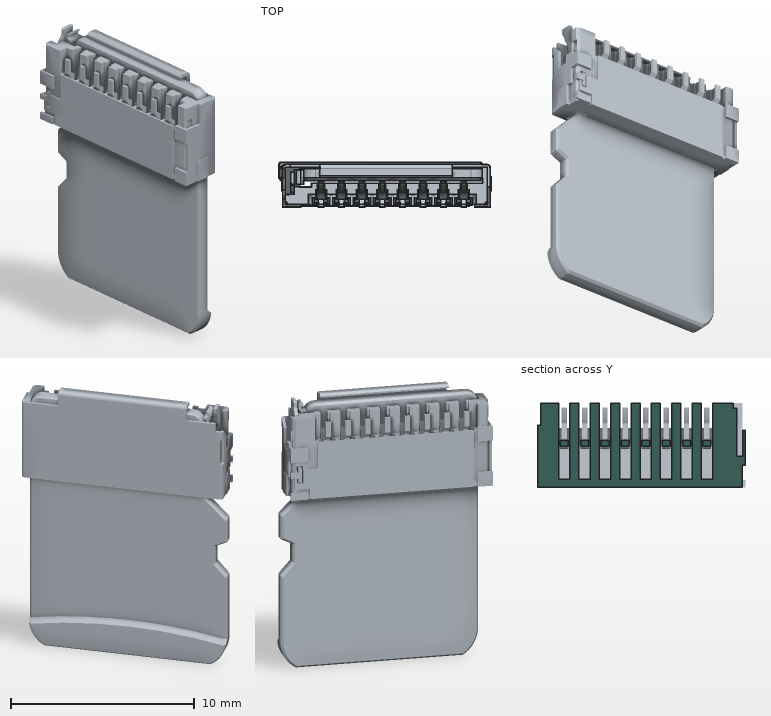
import cadquery as cq
import math

CARD_WIDTH = 11.06
CARD_HEIGHT = 15.05
CARD_FRONT_Y = 1.45
CARD_BACK_Y = 2.17
CARD_NECK_X = 1.35
CARD_SHOULDER_Z = 8.78
CARD_TOP_RADIUS = 0.64
FRONT_BEVEL_DEPTH = 0.15
FRONT_BEVEL_WIDTH = 0.12
BACK_BEVEL = 0.1
CORNER_DX = 0.85
CORNER_DZ = 1.5
NOTCH_DEPTH = 0.67
NOTCH_ZS = (5.3, 6.05, 7.09, 7.41)
LIP_BACK_Y = 2.45
LIP_ROOT_Y = 2.02
LIP_CROWN_Z = 2.03
LIP_BEVEL = 0.26
LIP_EDGE_BEVEL = 0.08

BASE_Z = 10.08
TOP_Z = 14.67
SHELL_TOP_Z = 14.65
SHEET = 0.15
SHELL_LEFT_X = 0.2
SHELL_RIGHT_X = 11.5
SHELL_BACK_Y = 2.33
INNER_BACK_Y = SHELL_BACK_Y - SHEET
INNER_LEFT_X = SHELL_LEFT_X + SHEET
INNER_RIGHT_X = SHELL_RIGHT_X - SHEET
BODY_FRONT_Y = 0.15
PLATE_FRONT_Y = 0.06
SHELL_BEND_RADIUS = 0.19
SIDE_PAD = 0.05
PAD_FRONT_Y = 0.88
PAD_BACK_Y = 1.66
PAD_TOP_Z = 11.28
RIGHT_TAB_TOP_Z = 13.48
SLOT_BOTTOM_Z = 12.69

BODY_EDGE_CHAMFER = 0.15
PLATE_LEFT_X = 1.7
PLATE_RIGHT_X = 10.36
PLATE_STEP_WIDTH = 0.14
PLATE_STEP_Z = 11.77
SHELF_Z = 13.3
SHELF_LEFT_X = 1.6
SHELF_RIGHT_X = 10.73
RIB_FRONT_Y = 0.7
CAVITY_LEFT_X = 0.84
CAVITY_RIGHT_X = 11.06
CAVITY_FRONT_Y = 1.3
CORNER_FRONT_Y = 1.1
CORNER_RIGHT_X = 1.77
MOUTH_LEFT_X = 1.15
POCKET_FLOOR_Z = 11.79
POCKET_FRONT_Y = 0.7
LATCH_DEPTH_Y = 0.56

CONTACT_COUNT = 8
FIRST_CONTACT_X = 2.3
LAST_CONTACT_X = 10.05
CONTACT_PITCH = (LAST_CONTACT_X - FIRST_CONTACT_X) / (CONTACT_COUNT - 1)
CONTACT_WIDTH = 0.3
CONTACT_BEND_WIDTH = 0.47
CONTACT_BARB_WIDTH = 0.75
SLOT_WIDTH = 0.4
SLOT_FRONT_WIDTH = 0.59
SLOT_STEP_Y = 0.96
SLOT_FLOOR_Z = 10.55
SOCKET_WIDTH = 0.96
SOCKET_BACK_Y = 0.51
SOCKET_FLOOR_Z = 12.25

contact_xs = [FIRST_CONTACT_X + i * CONTACT_PITCH for i in range(CONTACT_COUNT)]


def block(x0, x1, y0, y1, z0, z1):
    return cq.Workplane("XY").box(x1 - x0, y1 - y0, z1 - z0, centered=False).translate((x0, y0, z0))


def side_profile(points, x0, x1):
    """Extrude a (y, z) outline from x0 to x1."""
    return cq.Workplane("YZ", origin=(x0, 0, 0)).polyline(points).close().extrude(x1 - x0)


def front_profile(points, y0, y1):
    """Extrude an (x, z) outline from y0 to y1."""
    return cq.Workplane("XZ", origin=(0, y0, 0)).polyline(points).close().extrude(y0 - y1)


def corner_mid(side):
    """Middle point of a bottom corner arc that is tangent to the side edge; side is -1 or +1."""
    radius = (CORNER_DX ** 2 + CORNER_DZ ** 2) / (2 * CORNER_DX)
    half = math.asin(CORNER_DZ / radius) / 2
    inset = radius * (1 - math.cos(half))
    x = inset if side < 0 else CARD_WIDTH - inset
    return (x, CORNER_DZ - radius * math.sin(half))


def card_outline(plane):
    r = CARD_TOP_RADIUS
    bend = r * (1 - math.sqrt(0.5))
    z0, z1, z2, z3 = NOTCH_ZS
    return (
        plane.moveTo(CORNER_DX, 0)
        .lineTo(CARD_WIDTH - CORNER_DX, 0)
        .threePointArc(corner_mid(1), (CARD_WIDTH, CORNER_DZ))
        .lineTo(CARD_WIDTH, CARD_HEIGHT - r)
        .threePointArc((CARD_WIDTH - bend, CARD_HEIGHT - bend), (CARD_WIDTH - r, CARD_HEIGHT))
        .lineTo(CARD_NECK_X + r, CARD_HEIGHT)
        .threePointArc((CARD_NECK_X + bend, CARD_HEIGHT - bend), (CARD_NECK_X, CARD_HEIGHT - r))
        .lineTo(CARD_NECK_X, CARD_SHOULDER_Z + CARD_NECK_X)
        .lineTo(0, CARD_SHOULDER_Z)
        .lineTo(0, z3)
        .lineTo(NOTCH_DEPTH, z2)
        .lineTo(NOTCH_DEPTH, z1)
        .lineTo(0, z0)
        .lineTo(0, CORNER_DZ)
        .threePointArc(corner_mid(-1), (CORNER_DX, 0))
        .close()
    )


def make_card():
    bevel_y = CARD_FRONT_Y + FRONT_BEVEL_DEPTH
    slab = card_outline(cq.Workplane("XZ", origin=(0, bevel_y, 0))).extrude(bevel_y - CARD_BACK_Y)
    slab = slab.faces(">Y").edges().chamfer(BACK_BEVEL)
    taper = math.degrees(math.atan(FRONT_BEVEL_WIDTH / FRONT_BEVEL_DEPTH))
    front = card_outline(cq.Workplane("XZ", origin=(0, bevel_y, 0))).extrude(FRONT_BEVEL_DEPTH, taper=taper)
    return slab.union(front).union(make_lip())


def make_lip():
    """Thumb grip across the bottom of the card's back, with an arched and bevelled top."""
    lip = (
        cq.Workplane("XZ", origin=(0, LIP_ROOT_Y, 0))
        .moveTo(CORNER_DX, 0)
        .lineTo(CARD_WIDTH - CORNER_DX, 0)
        .threePointArc(corner_mid(1), (CARD_WIDTH, CORNER_DZ))
        .threePointArc((CARD_WIDTH / 2, LIP_CROWN_Z), (0, CORNER_DZ))
        .threePointArc(corner_mid(-1), (CORNER_DX, 0))
        .close()
        .extrude(LIP_ROOT_Y - LIP_BACK_Y)
    )
    lip = lip.faces(">Y").edges(">Z").chamfer(LIP_BEVEL)
    return lip.faces(">Y").edges("not >Z").chamfer(LIP_EDGE_BEVEL)


def make_shell():
    shell = block(SHELL_LEFT_X, SHELL_RIGHT_X, BODY_FRONT_Y, SHELL_BACK_Y, BASE_Z, SHELL_TOP_Z)
    shell = shell.edges("|Z and >Y").fillet(SHELL_BEND_RADIUS)
    shell = shell.cut(block(INNER_LEFT_X, INNER_RIGHT_X, 0, INNER_BACK_Y, BASE_Z, SHELL_TOP_Z))
    shell = shell.cut(left_wall_cutouts()).cut(right_wall_cutouts())
    for tab in front_tabs():
        shell = shell.union(tab)
    for pad in side_pads():
        shell = shell.union(pad)
    return shell.union(make_tongue())


def left_wall_cutouts():
    """Space above the stepped upper edge of the left wall, its front reliefs and its back corner openings."""
    corner_front_y, wall_top_z, notch_right_x = 2.02, 14.18, 0.62
    relief_top_z = 12.22
    window_z0, window_z1 = 12.2, 13.68
    outline = [
        (SHELL_BACK_Y, wall_top_z), (2.06, wall_top_z), (1.61, 13.73), (1.61, SLOT_BOTTOM_Z),
        (0.96, SLOT_BOTTOM_Z), (0.96, 13.2), (0.47, 13.2), (0.47, 13.03), (0, 13.03),
        (0, SHELL_TOP_Z), (SHELL_BACK_Y, SHELL_TOP_Z),
    ]
    upper = side_profile(outline, SHELL_LEFT_X, INNER_LEFT_X)
    relief = block(SHELL_LEFT_X, INNER_LEFT_X, 0, LATCH_DEPTH_Y, PAD_TOP_Z, relief_top_z)
    window = block(SHELL_LEFT_X, INNER_LEFT_X, corner_front_y, SHELL_BACK_Y, window_z0, window_z1)
    latch_relief = block(SHELL_LEFT_X, INNER_LEFT_X, 0, PAD_FRONT_Y, BASE_Z, PAD_TOP_Z)
    back_corner = block(SHELL_LEFT_X, notch_right_x, corner_front_y, SHELL_BACK_Y, wall_top_z, SHELL_TOP_Z)
    return upper.union(relief).union(window).union(latch_relief).union(back_corner)


def right_wall_cutouts():
    """The right wall is low in front, level with its upper tab."""
    low_part_back_y = 1.1
    return block(INNER_RIGHT_X, SHELL_RIGHT_X, 0, low_part_back_y, RIGHT_TAB_TOP_Z, SHELL_TOP_Z)


def front_tabs():
    """Tabs bent over the front, each given by its x range and z range."""
    spans = [
        (SHELL_LEFT_X, 1.2, 12.24, 13.03),
        (SHELL_LEFT_X, 1.16, BASE_Z, 10.48),
        (10.64, SHELL_RIGHT_X, 12.67, RIGHT_TAB_TOP_Z),
        (10.64, SHELL_RIGHT_X, BASE_Z, 10.89),
    ]
    return [block(x0, x1, 0, SHEET, z0, z1) for x0, x1, z0, z1 in spans]


def side_pads():
    pad_x = [(SHELL_LEFT_X - SIDE_PAD, INNER_LEFT_X), (INNER_RIGHT_X, SHELL_RIGHT_X + SIDE_PAD)]
    return [block(x0, x1, PAD_FRONT_Y, PAD_BACK_Y, BASE_Z, PAD_TOP_Z) for x0, x1 in pad_x]


def make_tongue():
    """Strip rising from the back wall and folded forward over the card."""
    x0, x1, fold_front_y, fold_z, top_z = 2.23, 9.43, 1.61, 15.31, 15.51
    bend_radius, lip_chamfer = 0.2, 0.11
    strip = block(x0, x1, INNER_BACK_Y, SHELL_BACK_Y, SHELL_TOP_Z, top_z)
    fold = block(x0, x1, fold_front_y, SHELL_BACK_Y, fold_z, top_z)
    tongue = strip.union(fold).edges("|X and >Z and >Y").fillet(bend_radius)
    return tongue.faces("<Y").edges(">Z").chamfer(lip_chamfer)


def make_insulator():
    body = block(INNER_LEFT_X, INNER_RIGHT_X, BODY_FRONT_Y, INNER_BACK_Y, BASE_Z, TOP_Z)
    body = body.edges("|Z and <Y").chamfer(BODY_EDGE_CHAMFER)
    body = body.union(front_plate())
    body = body.cut(card_cavity())
    body = body.cut(block(SHELF_LEFT_X, SHELF_RIGHT_X, 0, RIB_FRONT_Y, SHELF_Z, TOP_Z))
    body = body.cut(block(INNER_LEFT_X, CAVITY_LEFT_X, POCKET_FRONT_Y, INNER_BACK_Y, POCKET_FLOOR_Z, TOP_Z))
    for x in contact_xs:
        body = body.cut(contact_slot(x))
    latch_window = block(0.56, 0.92, 0, LATCH_DEPTH_Y, 10.98, 11.97)
    tab_recess = block(INNER_LEFT_X, 1.27, 0, BODY_FRONT_Y, BASE_Z, 10.69)
    return body.cut(latch_window).cut(tab_recess).cut(ramp_recesses())


def front_plate():
    left_x = 0.45
    outline = [
        (left_x, BASE_Z), (PLATE_RIGHT_X, BASE_Z), (PLATE_RIGHT_X, SHELF_Z),
        (PLATE_LEFT_X, SHELF_Z), (PLATE_LEFT_X, PLATE_STEP_Z), (left_x, PLATE_STEP_Z),
    ]
    plate = front_profile(outline, PLATE_FRONT_Y, BODY_FRONT_Y + BODY_EDGE_CHAMFER)
    step_y = (PLATE_FRONT_Y + BODY_FRONT_Y) / 2
    step = block(PLATE_RIGHT_X, PLATE_RIGHT_X + PLATE_STEP_WIDTH, step_y, RIB_FRONT_Y, BASE_Z, SHELF_Z)
    return plate.union(step)


def ramp_recesses():
    """Shallow recesses with ramped floors in the two outer side faces."""
    y0, y1, foot_z, roof_z, depth = 0.28, 0.68, 13.03, 13.93, 0.2
    left = [(INNER_LEFT_X, foot_z), (INNER_LEFT_X, roof_z), (INNER_LEFT_X + depth, roof_z)]
    right = [(INNER_RIGHT_X, foot_z), (INNER_RIGHT_X, roof_z), (INNER_RIGHT_X - depth, roof_z)]
    return front_profile(left, y0, y1).union(front_profile(right, y0, y1))


def card_cavity():
    """Space for the card, open at both ends, with room at the upper left for the lever and spring."""
    main = block(MOUTH_LEFT_X, CAVITY_RIGHT_X, CAVITY_FRONT_Y, INNER_BACK_Y, BASE_Z, TOP_Z)
    corner = block(MOUTH_LEFT_X, CORNER_RIGHT_X, CORNER_FRONT_Y, INNER_BACK_Y, BASE_Z, TOP_Z)
    pocket = block(CAVITY_LEFT_X, CORNER_RIGHT_X, CORNER_FRONT_Y, INNER_BACK_Y, POCKET_FLOOR_Z, TOP_Z)
    return main.union(corner).union(pocket)


def contact_slot(x):
    """Stepped slot between two ribs, and the socket in the shelf for the contact's base."""
    back = block(x - SLOT_WIDTH / 2, x + SLOT_WIDTH / 2, RIB_FRONT_Y, CAVITY_FRONT_Y, SLOT_FLOOR_Z, TOP_Z)
    half = SLOT_FRONT_WIDTH / 2
    front = block(x - half, x + half, SOCKET_BACK_Y, SLOT_STEP_Y, SLOT_FLOOR_Z, TOP_Z)
    half = SOCKET_WIDTH / 2
    socket = block(x - half, x + half, BODY_FRONT_Y, SOCKET_BACK_Y, SOCKET_FLOOR_Z, SHELF_Z)
    return back.union(front).union(socket)


def make_contact(x):
    """Solder tail before the shelf, barbed base in the socket, and a spring arm rising to the card."""
    tail_x = (x - CONTACT_WIDTH / 2, x + CONTACT_WIDTH / 2)
    bend_x = (x - CONTACT_BEND_WIDTH / 2, x + CONTACT_BEND_WIDTH / 2)
    barb_x = (x - CONTACT_BARB_WIDTH / 2, x + CONTACT_BARB_WIDTH / 2)
    stem_front_y, stem_back_y = 0.23, 0.43
    stem_top_z = 13.5
    barb_height = 0.19
    tail = side_profile(
        [(0, 13.59), (0.19, 13.37), (stem_back_y, 13.37), (stem_back_y, stem_top_z),
         (0.15, 13.63), (0.15, 14.42), (0, 14.42)],
        *tail_x,
    )
    stem = block(*tail_x, stem_front_y, stem_back_y, SOCKET_FLOOR_Z, stem_top_z)
    barbs = block(*barb_x, stem_front_y, stem_back_y, SOCKET_FLOOR_Z, SOCKET_FLOOR_Z + barb_height)
    bend = (
        cq.Workplane("YZ", origin=(bend_x[0], 0, 0))
        .moveTo(0.42, 12.33)
        .threePointArc((0.68, 12.41), (0.8, 12.64))
        .lineTo(0.96, 12.56)
        .threePointArc((0.78, 12.27), (0.42, 12.18))
        .close()
        .extrude(CONTACT_BEND_WIDTH)
    )
    arm = side_profile(
        [(0.8, 12.64), (1.2, 13.5), (1.3, 13.65), (1.43, 13.65),
         (1.43, 13.48), (1.35, 13.42), (0.96, 12.56), (0.88, 12.45)],
        *tail_x,
    )
    return tail.union(stem).union(barbs).union(bend).union(arm)


def make_lever():
    """Cranked lever plate in the left pocket, its foot in the latch window, and its strap."""
    x0, x1 = 0.65, 0.84
    foot_front_y, strap_back_y = 0.1, 0.19
    outline = [
        (1.89, 15.35), (1.25, 15.35), (1.2, 15.3), (1.2, 15.01), (0.8, 14.4), (0.8, POCKET_FLOOR_Z),
        (1.3, POCKET_FLOOR_Z), (1.3, 13.99), (1.89, 15.08),
    ]
    foot = block(x0, x1, foot_front_y, LATCH_DEPTH_Y, 11.07, 11.88)
    strap = block(SHELL_LEFT_X, x0, 0, strap_back_y, 11.32, 11.63)
    return side_profile(outline, x0, x1).union(foot).union(strap)


def make_spring():
    """Card spring: an upright strip with a curled end."""
    y0, y1 = 1.24, 2.03
    strip = front_profile(
        [(0.84, POCKET_FLOOR_Z), (0.98, POCKET_FLOOR_Z), (0.98, 13.68), (1.21, 13.99), (1.21, 14.73), (1.07, 14.73),
         (1.07, 14.05), (0.84, 13.74)],
        y0, y1,
    )
    outer, inner = 0.25, 0.12
    leg = 0.15
    diagonal = math.sqrt(0.5)
    curl = (
        cq.Workplane("XZ", origin=(1.2, y0, 14.94))
        .moveTo(leg, -outer)
        .lineTo(0, -outer)
        .threePointArc((-outer * diagonal, outer * diagonal), (0, outer))
        .lineTo(0, inner)
        .threePointArc((-inner, 0), (0, -inner))
        .lineTo(leg, -inner)
        .close()
        .extrude(y0 - y1)
    )
    return strip.union(curl)


def make_connector():
    connector = make_shell().union(make_insulator())
    for x in contact_xs:
        connector = connector.union(make_contact(x))
    return connector.union(make_lever()).union(make_spring())


card = make_card()
connector = make_connector()
result = cq.Compound.makeCompound([*card.vals(), *connector.vals()])